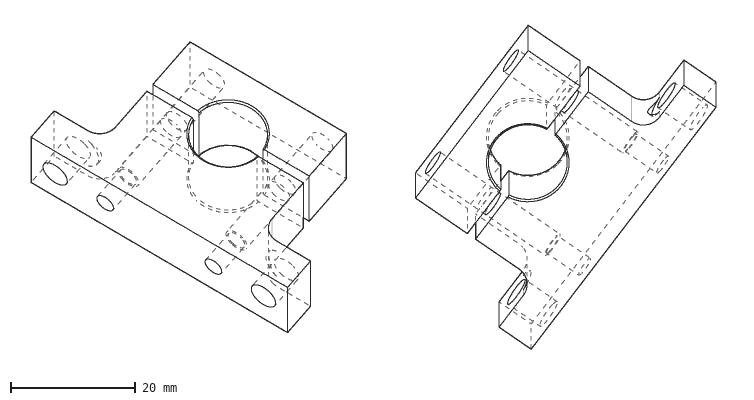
import cadquery as cq

base_length = 50.8
thickness = 12.7
overall_depth = 30.2

block_width = 31.0
flange_depth = 6.4
fillet_radius = 3.2

bore_diameter = 12.7
bore_chamfer = 0.3
bore_y = 19.05
split_gap = 1.65
base_top_y = bore_y - split_gap / 2
cap_bottom_y = bore_y + split_gap / 2

mount_hole_diameter = 4.85
mount_hole_spacing = 41.25
spotface_diameter = 8.15

screw_diameter = 4.15
screw_spacing = 21.45
pilot_diameter = 3.3
screw_tip_y = flange_depth


def block(width, start_y, end_y):
    """Full-thickness block centred on X and Z, from start_y to end_y."""
    return cq.Workplane("XY").box(width, end_y - start_y, thickness).translate((0, (start_y + end_y) / 2, 0))


def rod(diameter, x, start_y, end_y):
    """Cylinder along +Y, at mid-thickness."""
    return (
        cq.Workplane("XZ", origin=(x, start_y, 0))
        .circle(diameter / 2)
        .extrude(start_y - end_y)
    )


def mirrored_positions(spacing):
    """X positions of a pair placed symmetrically about the centre."""
    return (-spacing / 2, spacing / 2)


def make_bore():
    """Cutter for the shaft bore, flared at both ends to form its chamfers."""
    bore_radius = bore_diameter / 2
    mouth_radius = bore_radius + bore_chamfer
    half_thickness = thickness / 2
    chamfer_start = half_thickness - bore_chamfer
    return (
        cq.Workplane("XZ", origin=(0, bore_y, 0))
        .moveTo(0, -half_thickness)
        .lineTo(mouth_radius, -half_thickness)
        .lineTo(bore_radius, -chamfer_start)
        .lineTo(bore_radius, chamfer_start)
        .lineTo(mouth_radius, half_thickness)
        .lineTo(0, half_thickness)
        .close()
        .revolve(360, (0, 0, 0), (0, 1, 0))
    )


def make_screw(x):
    """Clamp screw, running from inside the base to the outer face of the cap."""
    return rod(screw_diameter, x, screw_tip_y, overall_depth)


def make_base():
    flange = block(base_length, 0, flange_depth)
    pedestal = block(block_width, 0, base_top_y)
    body = flange.union(pedestal)

    for side in mirrored_positions(block_width):
        corner = cq.selectors.NearestToPointSelector((side, flange_depth, 0))
        body = body.edges("|Z").edges(corner).fillet(fillet_radius)

    body = body.cut(make_bore())
    for x in mirrored_positions(mount_hole_spacing):
        body = body.cut(rod(mount_hole_diameter, x, 0, flange_depth))
        body = body.cut(rod(spotface_diameter, x, flange_depth, flange_depth + fillet_radius))
    for x in mirrored_positions(screw_spacing):
        body = body.cut(rod(pilot_diameter, x, 0, screw_tip_y))
        body = body.cut(make_screw(x))
    return body


def make_cap():
    body = block(block_width, cap_bottom_y, overall_depth).cut(make_bore())
    for x in mirrored_positions(screw_spacing):
        body = body.cut(make_screw(x))
    return body


base = make_base()
cap = make_cap()
screws = [make_screw(x).val() for x in mirrored_positions(screw_spacing)]

result = cq.Compound.makeCompound([base.val(), cap.val(), *screws])